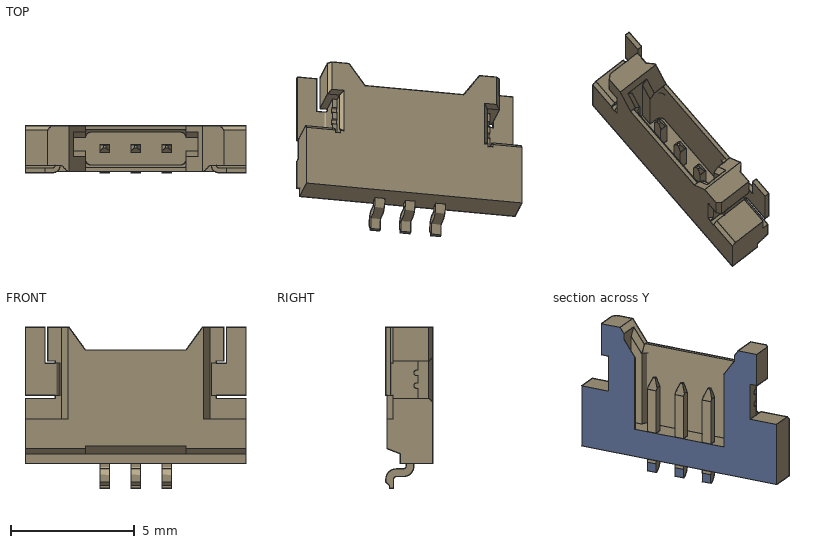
import cadquery as cq
import math


length = 8.9
depth = 1.85
height = 5.5
half_length = length / 2
front_y = -depth

notch_floor_z = 4.585
notch_half_bottom = 2.03
notch_half_top = 2.69
notch_slope = math.atan2(height - notch_floor_z, notch_half_top - notch_half_bottom)

shelf_z = 2.63
overhang_z = 4.13
column_half = 3.25
column_half_rear = 3.05
column_step_y = -0.595
rear_slot_drop = 0.25
overhang_half = 3.55
end_chamfer_y = 0.165
end_chamfer_side = 0.15

recess_depth = 0.25
recess_floor_z = 1.8
recess_half_outer = 2.74
recess_floor_y = front_y + recess_depth

undercut_y = -1.32
undercut_z = 0.39
undercut_front_z = 0.6
undercut_middle_z = 0.7
undercut_middle_y = -1.47

cavity_floor_z = 1.2
cavity_wall = 0.26
cavity_rim_wall = 0.16
cavity_radius = 0.24
cavity_rim_radius = 0.06
cavity_lead_in = 0.34
cavity_center_y = -depth / 2

slot_half = 2.515
slot_width = 0.54
slot_center_y = -0.745
slot_chamfer_y = 0.22
slot_chamfer_z = 0.34

pin_count = 3
pin_pitch = 1.25
pin_width = 0.4
pin_thickness = 0.32
pin_rear_y = -0.76
pin_top_z = 3.5
pin_tip_height = 0.36
pin_tip_width = 0.1
pin_tip_y = -0.84
pin_neck_height = 0.1
pin_neck_front_y = -1.015
pin_neck_rear_y = -0.775
lead_bend_inner = 0.11
lead_inner_corner = 0.11
lead_arm_top_z = -0.21
lead_front_y = -1.9
lead_bottom_z = -1.0
lead_toe_y = -1.75
lead_toe_top_z = -0.89
lead_cut_start_z = -0.75

tab_thickness = 0.2
tab_bend_inner = 0.1
tab_front_y = -1.9
tab_bottom_z = 2.75
tab_shoulder_z = 4.05
tab_arm_half_inner = 3.65
tab_notch_count = 2
tab_notch_pitch = 0.51
tab_notch_width = 0.22
tab_notch_depth = 0.17


def box(x_min, x_max, y_min, y_max, z_min, z_max):
    """Axis-aligned block between the given limits."""
    block = cq.Workplane("XY").box(x_max - x_min, y_max - y_min, z_max - z_min, centered=False)
    return block.translate((x_min, y_min, z_min))


def both_ends(shape):
    """The shape together with its mirror image about X = 0."""
    return shape.union(shape.mirror("YZ"))


def prism_along_x(points, half_width):
    """Prism with a YZ outline, centred on X = 0."""
    return cq.Workplane("YZ").polyline(points).close().extrude(half_width, both=True)


def housing_blank():
    """Front silhouette extruded through the depth, rear edges of the end steps chamfered."""
    right_side = [
        (half_length, 0),
        (half_length, shelf_z),
        (column_half, shelf_z),
        (column_half, overhang_z),
        (overhang_half, overhang_z),
        (overhang_half, height),
        (notch_half_top, height),
        (notch_half_bottom, notch_floor_z),
    ]
    left_side = [(-x, z) for x, z in reversed(right_side)]
    blank = cq.Workplane("XZ").polyline(right_side + left_side).close().extrude(depth)
    rear_step = box(column_half_rear, half_length, column_step_y, 0, shelf_z, overhang_z)
    rear_slot = box(column_half_rear, column_half, column_step_y, 0, shelf_z - rear_slot_drop, shelf_z)
    blank = blank.cut(both_ends(rear_step.union(rear_slot)))
    return blank.cut(both_ends(end_step_chamfer()))


def end_step_chamfer():
    """Wedge that bevels the rear edges from the shelf up to the top of the overhang."""
    beyond = 2 * half_length
    above = 2 * height

    def opening(y, grow):
        outline = [
            (beyond, shelf_z - grow),
            (column_half_rear - grow, shelf_z - grow),
            (column_half_rear - grow, overhang_z + grow),
            (overhang_half - grow, overhang_z + grow),
            (overhang_half - grow, above),
            (beyond, above),
        ]
        points = [cq.Vector(x, y, z) for x, z in outline]
        return cq.Wire.makePolygon(points, close=True)

    loft = cq.Solid.makeLoft([opening(-end_chamfer_y, 0), opening(0, end_chamfer_side)], True)
    return cq.Workplane(obj=loft)


def front_recess():
    """Shallow front pocket at the +X end, with a 45 degree inner side."""
    outline = [
        (recess_half_outer, front_y),
        (recess_half_outer + recess_depth, recess_floor_y),
        (half_length, recess_floor_y),
        (half_length, front_y),
    ]
    pocket = cq.Workplane("XY").workplane(offset=recess_floor_z).polyline(outline).close()
    return pocket.extrude(height - recess_floor_z)


def undercut():
    """Step along the bottom front edge: sloped roof at the ends, deeper flat roof in the middle."""
    end_outline = [
        (undercut_y, 0),
        (undercut_y, undercut_z),
        (front_y, undercut_front_z),
        (front_y, 0),
    ]
    middle_outline = [
        (undercut_y, 0),
        (undercut_y, undercut_z),
        (undercut_middle_y, undercut_middle_z),
        (front_y, undercut_middle_z),
        (front_y, 0),
    ]
    step = prism_along_x(end_outline, half_length)
    return step.union(prism_along_x(middle_outline, notch_half_bottom))


def cavity_outline(wall, radius, z=0):
    """Rounded rectangle leaving the given front and rear wall thickness."""
    outline = cq.Sketch().rect(2 * notch_half_bottom, depth - 2 * wall).vertices().fillet(radius)
    return outline.moved(cq.Location(cq.Vector(0, 0, z)))


def cavity():
    """Mating cavity with a tapered lead-in below the notch floor."""
    lead_in_z = notch_floor_z - cavity_lead_in
    mouth = cq.Workplane("XY", origin=(0, cavity_center_y, lead_in_z))
    lower = cavity_outline(cavity_wall, cavity_radius)
    upper = cavity_outline(cavity_rim_wall, cavity_rim_radius, cavity_lead_in)
    well = mouth.placeSketch(lower).extrude(cavity_floor_z - lead_in_z)
    return well.union(mouth.placeSketch(lower, upper).loft())


def keying_slot():
    """Slot at the +X end of the cavity, its mouth bevelled where it breaks the notch slope."""
    y_min = slot_center_y - slot_width / 2
    y_max = slot_center_y + slot_width / 2
    slot = box(0, slot_half, y_min, y_max, cavity_floor_z, height)
    slope_plane = cq.Plane(
        origin=(notch_half_bottom, slot_center_y, notch_floor_z),
        xDir=(0, 1, 0),
        normal=(math.cos(notch_slope), 0, math.sin(notch_slope)),
    )
    bevel_drop = slot_chamfer_z * math.cos(notch_slope)
    half_narrow = slot_width / 2
    half_wide = half_narrow + slot_chamfer_y
    outline = [
        (-half_wide, 0),
        (half_wide, 0),
        (half_narrow, -bevel_drop),
        (-half_narrow, -bevel_drop),
    ]
    bevel = cq.Workplane(slope_plane).polyline(outline).close().extrude(height, both=True)
    bevel = bevel.intersect(box(notch_half_bottom, slot_half, front_y, 0, cavity_floor_z, height))
    return slot.union(bevel)


def pin():
    """Pin with a tapered neck and an off-centre pyramidal tip, above a formed lead."""
    neck_top_z = pin_top_z - pin_tip_height
    neck_base_z = neck_top_z - pin_neck_height
    front = pin_rear_y - pin_thickness
    base = pin_section(pin_width, front, pin_rear_y, neck_base_z)
    neck = pin_section(pin_width, pin_neck_front_y, pin_neck_rear_y, neck_top_z)
    tip_front = pin_tip_y - pin_tip_width / 2
    tip = pin_section(pin_tip_width, tip_front, tip_front + pin_tip_width, pin_top_z)
    body = box(-pin_width / 2, pin_width / 2, front, pin_rear_y, 0, neck_base_z)
    body = body.union(cq.Workplane(obj=cq.Solid.makeLoft([base, neck], True)))
    body = body.union(cq.Workplane(obj=cq.Solid.makeLoft([neck, tip], True)))
    return body.union(lead())


def pin_section(width, y_min, y_max, z):
    """Rectangular wire across the pin at height z."""
    half = width / 2
    corners = [(-half, y_min), (half, y_min), (half, y_max), (-half, y_max)]
    return cq.Wire.makePolygon([cq.Vector(x, y, z) for x, y in corners], close=True)


def lead():
    """S-shaped lead: down from the housing, forward, then down to the toe."""
    front = pin_rear_y - pin_thickness
    outer = lead_bend_inner + pin_thickness
    shoulder = lead_inner_corner + pin_thickness
    arm_bottom_z = lead_arm_top_z - pin_thickness
    heel_y = lead_front_y + pin_thickness
    diagonal = math.sqrt(0.5)
    first_center = (front - lead_bend_inner, lead_arm_top_z + lead_bend_inner)
    second_center = (lead_front_y + shoulder, lead_arm_top_z - shoulder)

    def on_arc(center, radius, sign):
        return (center[0] + sign * radius * diagonal, center[1] - sign * radius * diagonal)

    profile = (
        cq.Workplane("YZ")
        .moveTo(front, 0)
        .lineTo(front, first_center[1])
        .threePointArc(on_arc(first_center, lead_bend_inner, 1), (first_center[0], lead_arm_top_z))
        .lineTo(second_center[0], lead_arm_top_z)
        .threePointArc(on_arc(second_center, shoulder, -1), (lead_front_y, second_center[1]))
        .lineTo(lead_front_y, lead_cut_start_z)
        .lineTo(lead_toe_y, lead_toe_top_z)
        .lineTo(lead_toe_y, lead_bottom_z)
        .lineTo(heel_y, lead_bottom_z)
        .lineTo(heel_y, second_center[1])
        .threePointArc(on_arc(second_center, lead_inner_corner, -1), (second_center[0], arm_bottom_z))
        .lineTo(first_center[0], arm_bottom_z)
        .threePointArc(on_arc(first_center, outer, 1), (pin_rear_y, first_center[1]))
        .lineTo(pin_rear_y, 0)
        .close()
    )
    return profile.extrude(pin_width / 2, both=True)


def solder_tab():
    """Bent sheet tab at the +X end: an anchor in the column and an L-shaped plate in front."""
    inner_face = column_half - tab_thickness
    bend_outer = tab_bend_inner + tab_thickness
    bend_x = inner_face + bend_outer
    bend_y = tab_front_y + bend_outer
    plate_rear_y = tab_front_y + tab_thickness
    diagonal = math.sqrt(0.5)
    strip = (
        cq.Workplane("XY", origin=(0, 0, tab_bottom_z))
        .moveTo(inner_face, column_step_y)
        .lineTo(inner_face, bend_y)
        .threePointArc(
            (bend_x - bend_outer * diagonal, bend_y - bend_outer * diagonal),
            (bend_x, tab_front_y),
        )
        .lineTo(half_length, tab_front_y)
        .lineTo(half_length, plate_rear_y)
        .lineTo(bend_x, plate_rear_y)
        .threePointArc(
            (bend_x - tab_bend_inner * diagonal, bend_y - tab_bend_inner * diagonal),
            (column_half, bend_y),
        )
        .lineTo(column_half, column_step_y)
        .close()
        .extrude(tab_shoulder_z - tab_bottom_z)
    )
    arm = box(tab_arm_half_inner, half_length, tab_front_y, plate_rear_y, tab_bottom_z, height)
    return strip.union(arm)


def tab_notches():
    """Round-ended notches in the rear edge of the +X tab anchor, spaced about its mid-height."""
    middle_z = (tab_bottom_z + tab_shoulder_z) / 2
    notch_radius = tab_notch_width / 2
    tip_center_y = column_step_y - tab_notch_depth + notch_radius
    notches = cq.Workplane("YZ", origin=(column_half_rear, 0, 0))
    for index in range(tab_notch_count):
        notch_z = middle_z + (index - (tab_notch_count - 1) / 2) * tab_notch_pitch
        top_z = notch_z + notch_radius
        notches = (
            notches.moveTo(column_step_y, notch_z - notch_radius)
            .lineTo(tip_center_y, notch_z - notch_radius)
            .threePointArc((tip_center_y - notch_radius, notch_z), (tip_center_y, top_z))
            .lineTo(column_step_y, top_z)
            .close()
        )
    return notches.extrude(column_half - column_half_rear)


def housing():
    """Plastic body with all its recesses and the mating cavity."""
    body = housing_blank()
    body = body.cut(both_ends(front_recess()))
    body = body.cut(undercut())
    body = body.cut(cavity())
    return body.cut(both_ends(keying_slot()))


result = housing().union(both_ends(solder_tab())).cut(both_ends(tab_notches()))
for index in range(pin_count):
    pin_x = (index - (pin_count - 1) / 2) * pin_pitch
    result = result.union(pin().translate((pin_x, 0, 0)))